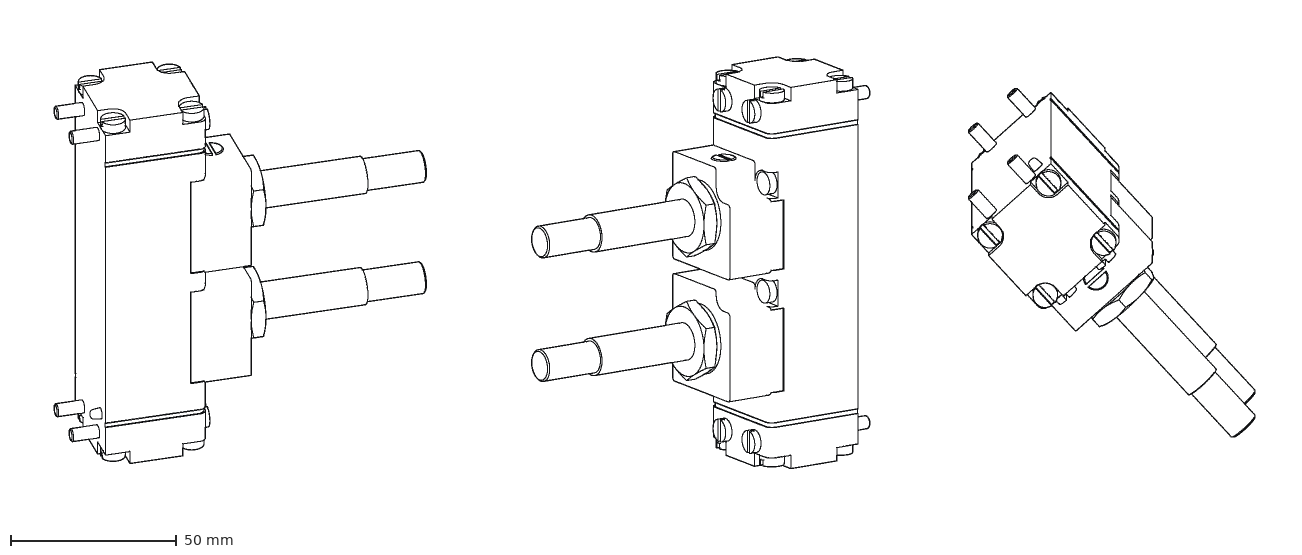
import cadquery as cq
import math


body_width = 32.4
body_depth = 32.0
body_length = 119.0
body_edge_radius = 2.3
joint_inset = 0.4
joint_width = 1.4
joint_z = 45.1

end_screw_x = 11.9
end_screw_y = 12.4
end_head_diameter = 7.5
end_head_height = 3.0
end_slot_width = 1.4
end_slot_depth = 1.8
end_pocket_radius = 4.0
end_pocket_depth = 4.2

mount_x = 8.0
mount_z = 51.5
mount_head_diameter = 7.0
mount_head_height = 2.3
mount_slot_width = 1.2
mount_slot_depth = 1.5
mount_shank_diameter = 4.0
mount_shank_length = 8.6
mount_shank_chamfer = 0.4

pin_x = 11.0
pin_z = -43.7
pin_root_diameter = 3.5
pin_tip_diameter = 3.0
pin_taper_length = 2.1
pin_tip_round = 1.1

block_width = 31.4
block_front_y = 46.0
block_length = 33.5
block_z = 19.0
block_round = 1.1
seat_back_y = 26.9
seat_margin = 1.0
notch_x = -12.3
notch_radius = 4.0
upper_notch_z = 29.8
lower_notch_z = -4.0
notch_seat_y = 29.0
notch_head_diameter = 7.0
notch_head_height = 2.6
override_y = 38.0
override_diameter = 7.5
override_height = 0.4
override_slot_depth = 0.4
override_chamfer = 0.4
override_slot_width = 1.1

tube_z = 19.3
collar_diameter = 21.5
nut_back_y = 47.5
nut_front_y = 52.1
nut_sides = 6
nut_across_flats = 21.4
nut_bevel_angle = 25.0
tube_diameter = 11.4
tube_step_y = 85.7
tip_diameter = 9.8
tip_y = 104.5
tip_chamfer = 0.5

half_length = body_length / 2
overlap = 1.2


def box(x_range, y_range, z_range):
    """Box between pairs of limits."""
    limits = (x_range, y_range, z_range)
    sizes = [high - low for low, high in limits]
    middles = [(high + low) / 2 for low, high in limits]
    return cq.Workplane("XY").box(*sizes).translate(tuple(middles))


def centred(middle, size):
    """Limits of a length placed around its middle."""
    return middle - size / 2, middle + size / 2


def cylinder_y(x, z, diameter, y_start, y_end):
    """Cylinder along +Y."""
    circle = cq.Workplane("XZ", origin=(x, y_start, z)).circle(diameter / 2)
    return circle.extrude(y_start - y_end)


def make_body():
    body = box(centred(0, body_width), (0, body_depth), centred(0, body_length))
    body = body.edges("|Z and >Y").fillet(body_edge_radius)
    core_width = body_width - 2 * joint_inset
    core_depth = body_depth - joint_inset
    for z in (-joint_z, joint_z):
        z_range = centred(z, joint_width)
        ring = box(centred(0, 2 * body_width), (0, 2 * body_depth), z_range)
        core = box(centred(0, core_width), (0, core_depth), z_range)
        core = core.edges("|Z and >Y").fillet(body_edge_radius)
        body = body.cut(ring.cut(core))
    return body


def end_corner(x_side, y_side):
    """Pocket and slotted screw head in one corner of the upper end."""
    x = x_side * end_screw_x
    y = body_depth / 2 + y_side * end_screw_y
    floor_z = half_length - end_pocket_depth
    z_range = (floor_z, half_length)
    reach = 2 * end_pocket_radius
    x_inner, x_outer = x - x_side * end_pocket_radius, x + x_side * reach
    y_inner, y_outer = y - y_side * end_pocket_radius, y + y_side * reach

    plane = cq.Workplane("XY", origin=(x, y, floor_z))
    pocket = plane.circle(end_pocket_radius).extrude(end_pocket_depth)
    pocket = pocket.union(box(sorted((x_inner, x_outer)), sorted((y, y_outer)), z_range))
    pocket = pocket.union(box(sorted((x, x_outer)), sorted((y_inner, y_outer)), z_range))

    head = plane.circle(end_head_diameter / 2).extrude(end_head_height)
    slot_floor = floor_z + end_head_height - end_slot_depth
    slot = box(centred(x, end_slot_width), centred(y, 2 * reach), (slot_floor, half_length))
    return pocket, head.cut(slot)


def add_end_screws(body):
    for x_side in (-1, 1):
        for y_side in (-1, 1):
            pocket, head = end_corner(x_side, y_side)
            body = body.cut(pocket).cut(pocket.mirror("XY"))
            body = body.union(head).union(head.mirror("XY"))
    return body


def make_mount_screw(x, z):
    head_y = body_depth + mount_head_height
    head = cylinder_y(x, z, mount_head_diameter, body_depth - overlap, head_y)
    slot_y = (head_y - mount_slot_depth, head_y)
    slot = box(centred(x, mount_slot_width), slot_y, centred(z, 2 * mount_head_diameter))
    shank = cylinder_y(x, z, mount_shank_diameter, -mount_shank_length, overlap)
    shank = shank.faces("<Y").chamfer(mount_shank_chamfer)
    return head.cut(slot), shank


def make_locating_pin():
    """Tapered pin with a rounded tip."""
    root = pin_root_diameter / 2
    tip = pin_tip_diameter / 2
    end_y = -pin_taper_length - pin_tip_round
    profile = (
        cq.Workplane("XY")
        .moveTo(0, overlap)
        .lineTo(root, overlap)
        .lineTo(root, 0)
        .lineTo(tip, -pin_taper_length)
        .radiusArc((tip - pin_tip_round, end_y), pin_tip_round)
        .lineTo(0, end_y)
        .close()
    )
    return profile.revolve(360, (0, 0, 0), (0, 1, 0)).translate((pin_x, 0, pin_z))


def notch_cutter(notch_z, y_start, y_end):
    """Corner notch rounded about a screw, open towards -X and +Z."""
    far = 2 * notch_radius
    outline = (
        cq.Workplane("XZ", origin=(notch_x, y_start, notch_z))
        .moveTo(-far, -notch_radius)
        .lineTo(0, -notch_radius)
        .radiusArc((notch_radius, 0), -notch_radius)
        .lineTo(notch_radius, far)
        .lineTo(-far, far)
        .close()
    )
    return outline.extrude(y_start - y_end)


def screw_seat(notch_z):
    """Recess for the block's holding screw, open towards -X."""
    seat = cylinder_y(notch_x, notch_z, 2 * notch_radius, notch_seat_y, body_depth)
    opening = box((-body_width, notch_x), (notch_seat_y, body_depth), centred(notch_z, 2 * notch_radius))
    return seat.union(opening)


def add_block(body, side, notch_z):
    """Pilot block on the upper (side = 1) or lower (side = -1) half."""
    middle = side * block_z
    bottom = middle - block_length / 2
    top = middle + block_length / 2
    block = box(centred(0, block_width), (body_depth - overlap, block_front_y), (bottom, top))
    block = block.cut(notch_cutter(notch_z, 0, 2 * block_front_y))

    left_edge = notch_x + notch_radius
    floor_z = notch_z - notch_radius
    outer_edges = (
        (-block_width / 2, bottom),
        (block_width / 2, bottom),
        (block_width / 2, top),
        (left_edge, top),
        (-block_width / 2, floor_z),
    )
    reach = block_round / 4
    for x, z in outer_edges:
        near_low = (x - reach, 0, z - reach)
        near_high = (x + reach, 2 * block_front_y, z + reach)
        block = block.edges(cq.selectors.BoxSelector(near_low, near_high)).fillet(block_round)

    for flank, seat_top in ((-1, floor_z), (1, top)):
        x_range = sorted((flank * block_width / 2, flank * body_width))
        z_range = (bottom + seat_margin, seat_top - seat_margin)
        body = body.cut(box(x_range, (seat_back_y, body_depth), z_range))

    head = cylinder_y(notch_x, notch_z, notch_head_diameter,
                      notch_seat_y - overlap, notch_seat_y + notch_head_height)
    return body.union(block).cut(screw_seat(notch_z)).union(head)


def make_override(side):
    """Slotted screw in the outer end of a block."""
    face_z = block_z + block_length / 2
    head_top = face_z + override_height
    plane = cq.Workplane("XY", origin=(0, override_y, face_z - overlap))
    head = plane.circle(override_diameter / 2).extrude(head_top - face_z + overlap)
    head = head.faces(">Z").chamfer(override_chamfer)
    slot = box(
        centred(0, 2 * override_diameter),
        centred(override_y, override_slot_width),
        (head_top - override_slot_depth, head_top),
    )
    head = head.cut(slot)
    return head if side > 0 else head.mirror("XY")


def make_nut():
    """Hexagon nut, corners along Z, bevelled on both faces."""
    corner_radius = nut_across_flats / 2 / math.cos(math.pi / nut_sides)
    height = nut_front_y - nut_back_y
    nut = (
        cq.Workplane("XZ")
        .polygon(nut_sides, 2 * corner_radius)
        .extrude(-height)
        .rotate((0, 0, 0), (0, 1, 0), 180 / nut_sides)
    )
    face_radius = nut_across_flats / 2
    bevel = (corner_radius - face_radius) * math.tan(math.radians(nut_bevel_angle))
    envelope = (
        cq.Workplane("XY")
        .moveTo(0, 0)
        .lineTo(face_radius, 0)
        .lineTo(corner_radius, bevel)
        .lineTo(corner_radius, height - bevel)
        .lineTo(face_radius, height)
        .lineTo(0, height)
        .close()
        .revolve(360, (0, 0, 0), (0, 1, 0))
    )
    return nut.intersect(envelope).translate((0, nut_back_y, 0))


def make_solenoid(z):
    collar = cylinder_y(0, 0, collar_diameter, block_front_y - overlap, nut_back_y)
    tube = cylinder_y(0, 0, tube_diameter, block_front_y, tube_step_y)
    tip = cylinder_y(0, 0, tip_diameter, block_front_y, tip_y)
    tip = tip.faces(">Y").chamfer(tip_chamfer)
    solenoid = collar.union(make_nut()).union(tube).union(tip)
    return solenoid.translate((0, 0, z))


result = add_end_screws(make_body())
result = add_block(result, 1, upper_notch_z)
result = add_block(result, -1, lower_notch_z)
for half in (-1, 1):
    result = result.union(make_override(half))
    result = result.union(make_solenoid(half * tube_z))
    for x_side in (-1, 1):
        screw_head, screw_shank = make_mount_screw(x_side * mount_x, half * mount_z)
        result = result.union(screw_head).union(screw_shank)
result = result.union(make_locating_pin())